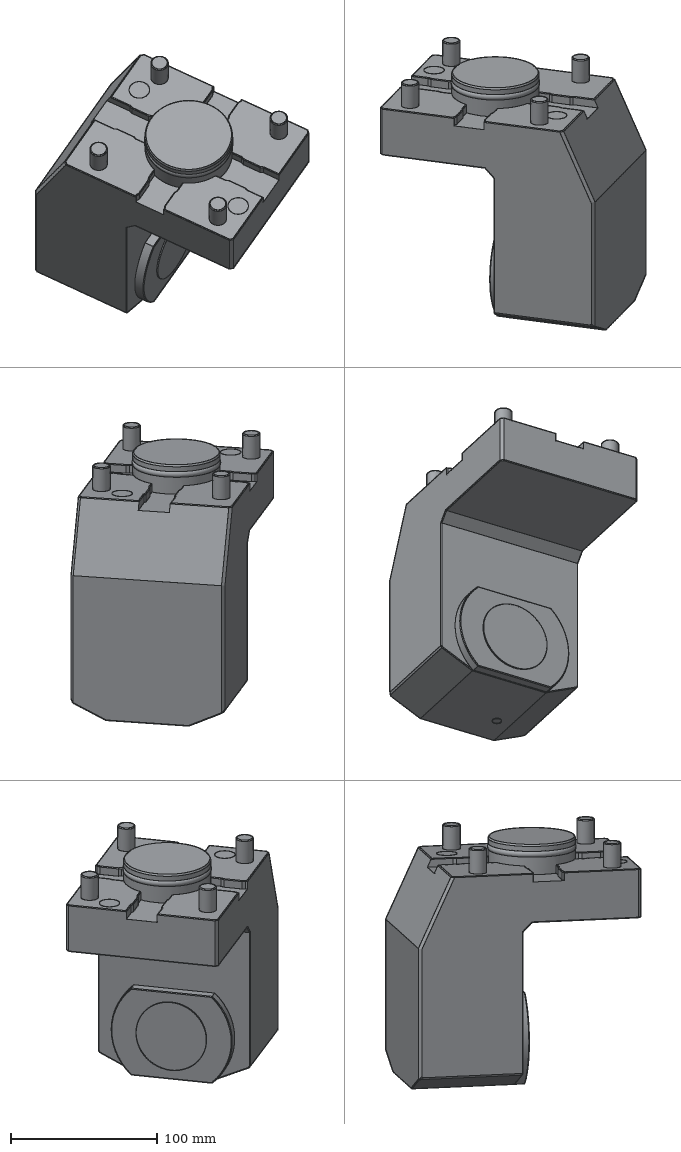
import cadquery as cq
import math


left_x = -91.0
right_x = 65.0
width_y = 108.0
bottom_z = -152.0
arm_bottom_z = -34.4
leg_right_x = -18.0
inner_bevel = 6.5
slope_angle = math.radians(25)
left_slope_height = 49.4
bottom_flat_y = 58.0
corner_chamfer = 2.0
bevel_edge_chamfer = 1.0
edge_chamfer = 0.6

tolerance = 1e-3

slot_width = 21.8
slot_depth = 6.0
pad_gap = 20.0
pad_length = 13.0
pad_ramp = 2.2
pad_center_radius = 44.0

spigot_diameter = 59.9
spigot_top_z = 15.0
spigot_chamfer_height = 1.3
spigot_chamfer_width = 0.7
groove_diameter = 55.2
groove_bottom_z = 6.2
groove_top_z = 10.2
ring_diameter = 60.7
ring_section_diameter = 4.8
ring_center_z = 7.5

pin_diameter = 12.0
pin_height = 17.0
pin_chamfer = 0.7
pin_x = 47.0
pin_y = 42.0
plug_diameter = 14.0
plug_recess = 0.1
plug_x = 53.8
plug_y = 26.0

flange_diameter = 86.0
flange_height = 64.0
flange_right_x = -11.0
flange_chamfer = 0.6
flange_center_z = -120.0
face_boss_diameter = 50.0
face_boss_height = 1.0

button_diameter = 6.5
button_height = 0.55
button_x = -66.7
button_y = 17.8

half_width = width_y / 2
half_flat = bottom_flat_y / 2
slope_run = left_slope_height * math.tan(slope_angle)
bevel_top_z = bottom_z + (half_width - half_flat) * math.tan(slope_angle)
inner_bevel_end_x = leg_right_x + inner_bevel
inner_bevel_end_z = arm_bottom_z - inner_bevel


def near(value, target):
    return abs(value - target) < tolerance


def chamfer_edges(solid, condition, size):
    """Chamfer the edges whose centre point meets the condition."""
    chosen = [edge for edge in solid.edges().vals() if condition(edge.Center())]
    return solid.newObject(chosen).chamfer(size)


def make_housing_blank():
    """L-shaped side outline crossed with the bevelled end outline."""
    side = (
        cq.Workplane("XZ")
        .moveTo(left_x, bottom_z)
        .lineTo(left_x, -left_slope_height)
        .lineTo(left_x + slope_run, 0)
        .lineTo(right_x, 0)
        .lineTo(right_x, arm_bottom_z)
        .lineTo(inner_bevel_end_x, arm_bottom_z)
        .lineTo(leg_right_x, inner_bevel_end_z)
        .lineTo(leg_right_x, bottom_z)
        .close()
        .extrude(half_width, both=True)
    )
    end = (
        cq.Workplane("YZ", origin=(left_x, 0, 0))
        .moveTo(-half_width, 0)
        .lineTo(half_width, 0)
        .lineTo(half_width, bevel_top_z)
        .lineTo(half_flat, bottom_z)
        .lineTo(-half_flat, bottom_z)
        .lineTo(-half_width, bevel_top_z)
        .close()
        .extrude(right_x - left_x)
    )
    return side.intersect(end)


def is_corner_edge(center):
    """Flank edges along the left wall, the left slope and the arm end."""
    corner_x = (left_x, left_x + slope_run / 2, right_x)
    return near(abs(center.y), half_width) and any(near(center.x, x) for x in corner_x)


def is_bevel_edge(center):
    """Edges where the flanks meet the bevels of the underside."""
    return near(abs(center.y), half_width) and near(center.z, bevel_top_z)


def is_lower_edge(center):
    """Outline edges of the left wall's lower end, the leg wall, the inner bevel and the arm underside."""
    at_left_wall = center.x < left_x + corner_chamfer + tolerance
    around_left_wall = at_left_wall and center.z < bevel_top_z + corner_chamfer
    around_leg_wall = near(center.x, leg_right_x) and center.z < inner_bevel_end_z - tolerance
    on_inner_bevel = near(center.x, leg_right_x + inner_bevel / 2)
    around_arm_bottom = near(center.z, arm_bottom_z) and center.x > inner_bevel_end_x + tolerance
    return around_left_wall or around_leg_wall or on_inner_bevel or around_arm_bottom


def make_slot(start_x, end_x):
    """Slot volume along X, narrowed by a pair of pads on each side of the spigot."""
    outer = slot_width / 2
    inner = pad_gap / 2
    slot = (
        cq.Workplane("XY", origin=(0, 0, -slot_depth))
        .moveTo(start_x, -outer)
        .lineTo(end_x, -outer)
        .lineTo(end_x, outer)
        .lineTo(start_x, outer)
        .close()
        .extrude(slot_depth)
    )
    half_pad = pad_length / 2
    for center_x in (-pad_center_radius, pad_center_radius):
        for side in (-1, 1):
            pad = (
                cq.Workplane("XY", origin=(center_x, 0, -slot_depth))
                .moveTo(-half_pad - pad_ramp, side * outer)
                .lineTo(-half_pad, side * inner)
                .lineTo(half_pad, side * inner)
                .lineTo(half_pad + pad_ramp, side * outer)
                .close()
                .extrude(slot_depth)
            )
            slot = slot.cut(pad)
    return slot


def make_body():
    """Housing with cross slots and chamfered edges."""
    body = chamfer_edges(make_housing_blank(), is_corner_edge, corner_chamfer)
    body = chamfer_edges(body, is_bevel_edge, bevel_edge_chamfer)
    slot_along_x = make_slot(left_x, right_x)
    slot_along_y = make_slot(-half_width, half_width).rotate((0, 0, 0), (0, 0, 1), 90)
    body = body.cut(slot_along_x).cut(slot_along_y)
    body = body.faces(">Z").edges().chamfer(edge_chamfer)
    return chamfer_edges(body, is_lower_edge, edge_chamfer)


def make_spigot():
    """Grooved spigot with its O-ring, standing on the slot floor."""
    radius = spigot_diameter / 2
    groove_radius = groove_diameter / 2
    base_z = -slot_depth
    column = (
        cq.Workplane("XZ")
        .moveTo(0, base_z)
        .lineTo(radius, base_z)
        .lineTo(radius, groove_bottom_z)
        .lineTo(groove_radius, groove_bottom_z)
        .lineTo(groove_radius, groove_top_z)
        .lineTo(radius, groove_top_z)
        .lineTo(radius, spigot_top_z - spigot_chamfer_height)
        .lineTo(radius - spigot_chamfer_width, spigot_top_z)
        .lineTo(0, spigot_top_z)
        .close()
        .revolve(360, (0, 0, 0), (0, 1, 0))
    )
    section_radius = ring_section_diameter / 2
    ring_center_radius = ring_diameter / 2 - section_radius
    ring = (
        cq.Workplane("XZ")
        .center(ring_center_radius, ring_center_z)
        .circle(section_radius)
        .revolve(360, (-ring_center_radius, 0, 0), (-ring_center_radius, 1, 0))
    )
    return column.union(ring)


def make_pins():
    centers = [(x, y) for x in (-pin_x, pin_x) for y in (-pin_y, pin_y)]
    pins = cq.Workplane("XY").pushPoints(centers).circle(pin_diameter / 2).extrude(pin_height)
    return pins.faces(">Z").edges().chamfer(pin_chamfer)


def make_plug_recesses():
    centers = [(-plug_x, plug_y), (plug_x, -plug_y)]
    recesses = cq.Workplane("XY").pushPoints(centers).circle(plug_diameter / 2)
    return recesses.extrude(-plug_recess)


def make_flange():
    thickness = flange_right_x - leg_right_x
    start = cq.Workplane("YZ", origin=(leg_right_x, 0, flange_center_z))
    disc = start.circle(flange_diameter / 2).extrude(thickness)
    flats = start.rect(flange_diameter, flange_height).extrude(thickness)
    flange = disc.intersect(flats).faces(">X").edges().chamfer(flange_chamfer)
    face_boss = (
        cq.Workplane("YZ", origin=(flange_right_x, 0, flange_center_z))
        .circle(face_boss_diameter / 2)
        .extrude(face_boss_height)
    )
    return flange.union(face_boss)


def make_button():
    button = cq.Workplane("XY", origin=(button_x, button_y, bottom_z))
    return button.circle(button_diameter / 2).extrude(-button_height)


result = (
    make_body()
    .cut(make_plug_recesses())
    .union(make_spigot())
    .union(make_pins())
    .union(make_flange())
    .union(make_button())
)